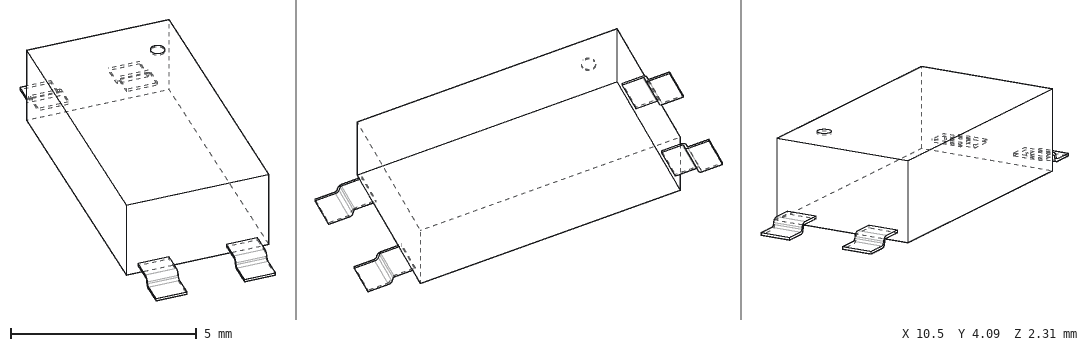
import cadquery as cq
import math

span_x = 10.49
housing_length = 7.69
housing_width = 4.09
housing_height = 2.31

lead_width = 0.89
lead_pitch = 2.54
lead_thickness = 0.076
lead_top = 0.311
foot_corner = 0.635
riser_angle = math.radians(75.5)
foot_inner_radius = 0.08
foot_outer_radius = 0.11
shoulder_outer_radius = 0.165
shoulder_inner_radius = 0.04

marker_diameter = 0.39
marker_depth = 0.05
marker_inset_x = 1.2
marker_x = marker_inset_x - housing_length / 2
marker_y = lead_pitch / 2


def make_marker():
    """Disc whose top face lies level with the housing top."""
    return (
        cq.Workplane("XY", origin=(marker_x, marker_y, housing_height - marker_depth))
        .circle(marker_diameter / 2)
        .extrude(marker_depth)
    )


def make_housing(marker):
    """Rectangular block with a shallow recess that holds the marker."""
    block = cq.Workplane("XY").box(
        housing_length, housing_width, housing_height, centered=(True, True, False)
    )
    return block.cut(marker)


def make_lead(center_y):
    """Z-bent strip lead on the -X end, touching the housing end face."""
    tip_x = -span_x / 2
    wall_x = -housing_length / 2
    shoulder_underside = lead_top - lead_thickness

    def riser_left_x(z):
        return tip_x + foot_corner + (z - lead_thickness) / math.tan(riser_angle)

    def riser_right_x(z):
        return riser_left_x(z) + lead_thickness / math.sin(riser_angle)

    foot_top_corner = (riser_left_x(lead_thickness), lead_thickness)
    foot_bottom_corner = (riser_right_x(0), 0)
    shoulder_top_corner = (riser_left_x(lead_top), lead_top)
    shoulder_bottom_corner = (riser_right_x(shoulder_underside), shoulder_underside)

    lead = (
        cq.Workplane("XZ", origin=(0, center_y, 0))
        .polyline([
            (tip_x, 0),
            foot_bottom_corner,
            shoulder_bottom_corner,
            (wall_x, shoulder_underside),
            (wall_x, lead_top),
            shoulder_top_corner,
            foot_top_corner,
            (tip_x, lead_thickness),
        ])
        .close()
        .extrude(lead_width / 2, both=True)
    )

    bends = [
        (foot_top_corner, foot_inner_radius),
        (foot_bottom_corner, foot_outer_radius),
        (shoulder_top_corner, shoulder_outer_radius),
        (shoulder_bottom_corner, shoulder_inner_radius),
    ]
    for (corner_x, corner_z), radius in bends:
        corner_edge = cq.selectors.NearestToPointSelector((corner_x, center_y, corner_z))
        lead = lead.edges("|Y").edges(corner_edge).fillet(radius)
    return lead


marker = make_marker()
housing = make_housing(marker)

leads = []
for center_y in (-lead_pitch / 2, lead_pitch / 2):
    for turn in (0, 180):
        lead = make_lead(center_y).rotate((0, 0, 0), (0, 0, 1), turn)
        leads.append(lead.val())

result = cq.Compound.makeCompound([housing.val(), marker.val(), *leads])